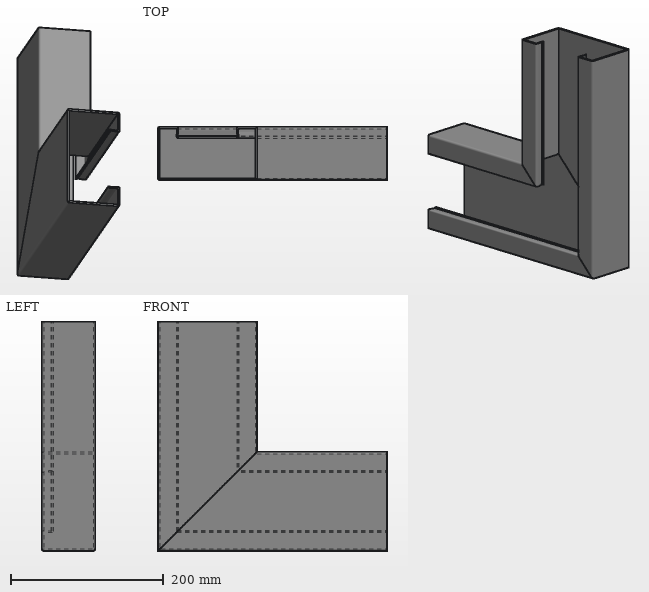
import cadquery as cq
import math

LEG_LENGTH = 300.0
SIZE_STEP = LEG_LENGTH / 30
DEPTH = 7 * SIZE_STEP
LEG_WIDTH = 13 * SIZE_STEP

WALL = 2.8
BEND_RADIUS = 3.0
SLOT_WIDTH = 76.2

LIP_DEPTH = 15.0
LIP_WALL = 2.0
LIP_BEND_RADIUS = 1.95
LIP_INNER_RADIUS = 1.2
LIP_SET_BACK = 0.75
LEAN_START = 5.0
LEAN_END = 12.0
HOOK_START = 13.0
INNER_LEAN_START = 7.0
INNER_LEAN_END = 10.8

HALF_WIDTH = LEG_WIDTH / 2
REAR = DEPTH / 2


def rounded_tube():
    """Closed box section along Z, centred on the origin."""
    outer = (
        cq.Workplane("XY")
        .rect(LEG_WIDTH, DEPTH)
        .extrude(LEG_LENGTH)
        .edges("|Z")
        .fillet(BEND_RADIUS)
    )
    bore = (
        cq.Workplane("XY")
        .rect(LEG_WIDTH - 2 * WALL, DEPTH - 2 * WALL)
        .extrude(LEG_LENGTH)
    )
    return outer.cut(bore)


def slot_cutter():
    """Opening through the rear wall, between the two flanges."""
    return (
        cq.Workplane("XY")
        .center(0, REAR)
        .rect(SLOT_WIDTH, 2 * LIP_DEPTH)
        .extrude(LEG_LENGTH)
    )


def left_lip():
    """Leaning lip on the left flange, with a rounded, hooked end."""
    slot_face = -SLOT_WIDTH / 2
    inner_face = slot_face - LIP_WALL
    lean_slope = LIP_SET_BACK / (LEAN_END - LEAN_START)
    inner_end = inner_face - lean_slope * (INNER_LEAN_END - INNER_LEAN_START)
    end_radius = slot_face - inner_end
    end_centre_y = REAR - LIP_DEPTH + end_radius
    arc_offset = end_radius * math.sqrt(0.5)
    bend_y = REAR - WALL
    return (
        cq.Workplane("XY")
        .moveTo(slot_face - LIP_BEND_RADIUS, REAR)
        .radiusArc((slot_face, REAR - LIP_BEND_RADIUS), LIP_BEND_RADIUS)
        .lineTo(slot_face, REAR - LEAN_START)
        .lineTo(slot_face - LIP_SET_BACK, REAR - LEAN_END)
        .lineTo(slot_face, REAR - HOOK_START)
        .lineTo(slot_face, REAR - LIP_DEPTH)
        .threePointArc(
            (slot_face - arc_offset, end_centre_y - arc_offset),
            (inner_end, end_centre_y),
        )
        .lineTo(inner_end, REAR - INNER_LEAN_END)
        .lineTo(inner_face, REAR - INNER_LEAN_START)
        .lineTo(inner_face, bend_y - LIP_INNER_RADIUS)
        .radiusArc((inner_face - LIP_INNER_RADIUS, bend_y), -LIP_INNER_RADIUS)
        .lineTo(inner_face - LIP_INNER_RADIUS, REAR)
        .close()
        .extrude(LEG_LENGTH)
    )


def flange_trim():
    """Sharp flange edge that the rounded lip bend replaces."""
    slot_face = -SLOT_WIDTH / 2
    return (
        cq.Workplane("XY")
        .center(slot_face - LIP_BEND_RADIUS / 2, REAR)
        .rect(LIP_BEND_RADIUS, 2 * WALL)
        .extrude(LEG_LENGTH)
    )


def lipped_channel():
    """Straight trunking along Z, open at the rear, with its left side at X = 0."""
    lip = left_lip()
    trim = flange_trim()
    channel = rounded_tube().cut(slot_cutter())
    channel = channel.cut(trim).cut(trim.mirror("YZ"))
    channel = channel.union(lip).union(lip.mirror("YZ"))
    return channel.translate((HALF_WIDTH, 0, 0))


def mitre_wedge():
    """Space above the diagonal plane Z = X, which holds the upright leg."""
    return (
        cq.Workplane("XZ")
        .polyline([(0, 0), (LEG_LENGTH, LEG_LENGTH), (0, LEG_LENGTH)])
        .close()
        .extrude(REAR, both=True)
    )


def make_upright_leg():
    """Leg along Z, mitred at its lower end."""
    return lipped_channel().intersect(mitre_wedge())


def make_level_leg():
    """Leg along X: the symmetric channel turned onto the other side of the mitre plane."""
    return make_upright_leg().mirror("YZ").rotate((0, 0, 0), (0, 1, 0), 90)


upright_leg = make_upright_leg()
level_leg = make_level_leg()

result = cq.Compound.makeCompound([upright_leg.val(), level_leg.val()])